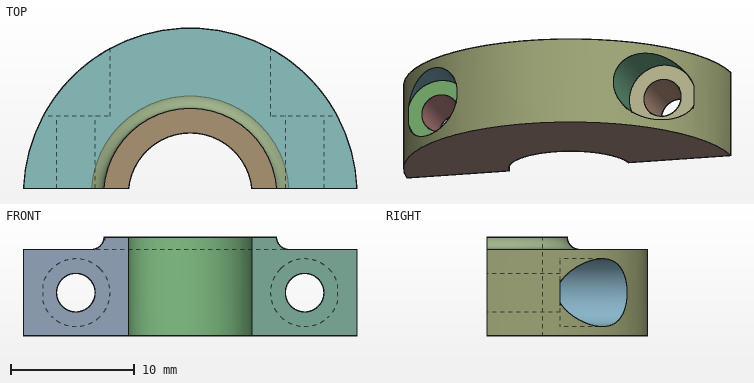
import cadquery as cq
import math

outer_radius = 13.5
bore_radius = 5.0
hub_radius = 7.0
body_height = 7.0
total_height = 8.0
fillet_radius = total_height - body_height
split_gap = 0.5

screw_offset = 9.25
screw_height = body_height / 2
screw_hole_diameter = 3.1
head_pocket_diameter = 5.5
head_seat_y = 6.4


def make_ring():
    """Revolve the collar section, with a concave fillet from hub to body."""
    fillet_centre = hub_radius + fillet_radius
    fillet_mid = fillet_radius * math.cos(math.radians(45))
    profile = (
        cq.Workplane("XZ")
        .moveTo(bore_radius, 0)
        .lineTo(outer_radius, 0)
        .lineTo(outer_radius, body_height)
        .lineTo(fillet_centre, body_height)
        .threePointArc(
            (fillet_centre - fillet_mid, total_height - fillet_mid),
            (hub_radius, total_height),
        )
        .lineTo(bore_radius, total_height)
        .close()
    )
    return profile.revolve(360, (0, 0, 0), (0, 1, 0))


def keep_half(ring):
    """Keep the part of the ring beyond the split face."""
    half_space = cq.Workplane("XY").box(
        2 * outer_radius, outer_radius, total_height, centered=(True, False, False)
    )
    return ring.intersect(half_space.translate((0, split_gap, 0)))


def cylinder_along_y(x, diameter, start_y):
    """Cylinder at screw height, from start_y out past the rim."""
    base = cq.Plane(origin=(x, start_y, screw_height), xDir=(1, 0, 0), normal=(0, 1, 0))
    return cq.Workplane(base).circle(diameter / 2).extrude(outer_radius)


result = keep_half(make_ring())
for screw_x in (-screw_offset, screw_offset):
    result = result.cut(cylinder_along_y(screw_x, screw_hole_diameter, 0))
    result = result.cut(cylinder_along_y(screw_x, head_pocket_diameter, head_seat_y))